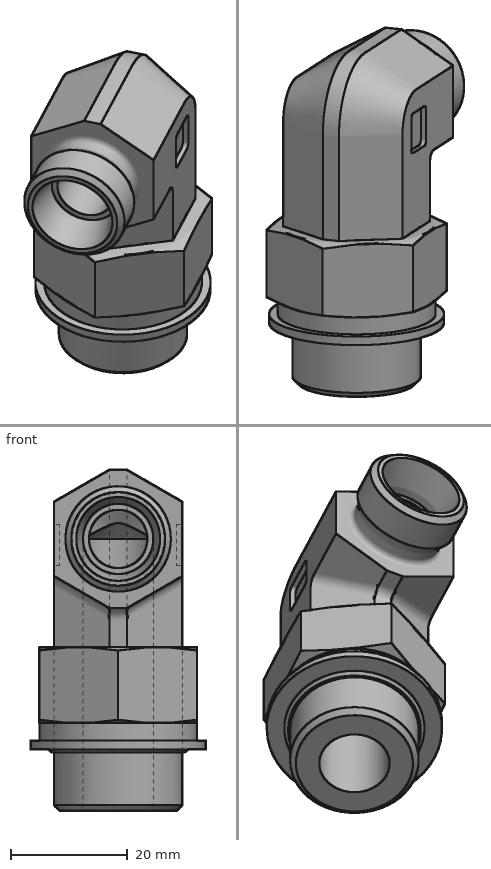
import cadquery as cq
import math

BODY_FLATS = 22.0
BODY_SIDE = BODY_FLATS / 2
HEX_SLOPE = math.tan(math.radians(30))
SIDE_FLAT_HALF = BODY_SIDE * HEX_SLOPE
BODY_HEIGHT_HALF = 11.85
BODY_FACE = 17.0
INNER_FILLET = 2.0
TOTAL_HEIGHT = 58.35
AXIS_Z = TOTAL_HEIGHT - BODY_HEIGHT_HALF

STUD_DIAMETER = BODY_FLATS
END_CHAMFER = 1.0

OUTLET_END = 28.0
OUTLET_DIAMETER = 18.0
NECK_DIAMETER = 15.7
NECK_FILLET = 1.0
SHOULDER_START = 19.55
SHOULDER_ANGLE = 30.0
SHOULDER_FILLET = 1.05

OUTLET_BORE = 10.0
STEM_BORE = 12.0
SEAT_DIAMETER = 12.0
SEAT_DEPTH = 7.0
CONE_MOUTH = 14.35
CONE_HALF_ANGLE = 12.0
DRILL_HALF_ANGLE = 60.0

RECESS_WIDTH = 6.9
RECESS_HEIGHT = 7.0
RECESS_DEPTH = 1.0
RECESS_CORNER = 0.9
RECESS_OFFSET_Y = 1.1
RECESS_DROP = 1.05

WASHER_DIAMETER = 30.0
WASHER_BOTTOM = 10.5
WASHER_THICKNESS = 1.5
LIP_TOP_DIAMETER = 24.0
LIP_BOTTOM_DIAMETER = 22.7
LIP_HEIGHT = 0.5
WASHER_TOP = WASHER_BOTTOM + WASHER_THICKNESS

NUT_FLATS = 27.0
NUT_HEIGHT = 16.0
COLLAR_DIAMETER = NUT_FLATS
COLLAR_HEIGHT = 3.0
NUT_FACE_DIAMETER = 26.85
NUT_CHAMFER_ANGLE = 15.0
NUT_TOP = WASHER_TOP + NUT_HEIGHT

SELECT_MARGIN = 0.05


def bar_half_profile():
    """Upper half of the bar section, from its left side flat to its right one."""
    uncut_peak = 2 * SIDE_FLAT_HALF
    crest = (uncut_peak - BODY_HEIGHT_HALF) / HEX_SLOPE
    return [
        (-BODY_SIDE, SIDE_FLAT_HALF),
        (-crest, BODY_HEIGHT_HALF),
        (crest, BODY_HEIGHT_HALF),
        (BODY_SIDE, SIDE_FLAT_HALF),
    ]


def bar_profile():
    """Whole section of the bar, with both corners on the middle line cut flat."""
    upper = bar_half_profile()
    lower = [(-x, -y) for x, y in upper]
    return upper + lower


def bar_elbow():
    """Stem, bend and outlet of the bar, with the inner corner rounded."""
    stem_plane = cq.Workplane("XY", origin=(0, 0, NUT_TOP))
    stem = stem_plane.polyline(bar_profile()).close().extrude(AXIS_Z - NUT_TOP)
    outlet_plane = cq.Workplane("XZ", origin=(0, 0, AXIS_Z))
    outlet = outlet_plane.polyline(bar_profile()).close().extrude(BODY_FACE)
    bend_section = [(-BODY_SIDE, 0)] + bar_half_profile() + [(BODY_SIDE, 0)]
    bend = outlet_plane.polyline(bend_section).close().revolve(90, (0, 0), (-1, 0))
    body = stem.union(outlet).union(bend)

    near = SIDE_FLAT_HALF - SELECT_MARGIN
    far = BODY_HEIGHT_HALF + SELECT_MARGIN
    side = BODY_SIDE + SELECT_MARGIN
    inner_corner = cq.selectors.BoxSelector(
        (-side, -far, AXIS_Z - far),
        (side, -near, AXIS_Z - near),
        boundingbox=True,
    )
    return body.edges(inner_corner).fillet(INNER_FILLET)


def stud():
    """Round shank from the stud end up to the foot of the hexagonal bar."""
    return cq.Workplane("XY").circle(STUD_DIAMETER / 2).extrude(NUT_TOP).faces("<Z").chamfer(END_CHAMFER)


def outlet_solid(profile):
    """Turn a (radius, distance from the stem axis) profile about the outlet axis."""
    points = [(radius, -distance) for radius, distance in profile]
    return cq.Workplane("XY", origin=(0, 0, AXIS_Z)).polyline(points).close().revolve(360, (0, 0), (0, 1))


def spigot():
    """Outlet tube end: neck, sloped shoulder and chamfered rim."""
    neck = NECK_DIAMETER / 2
    rim = OUTLET_DIAMETER / 2
    shoulder_end = SHOULDER_START + (rim - neck) / math.tan(math.radians(SHOULDER_ANGLE))
    turned = outlet_solid([
        (0, 0),
        (neck, 0),
        (neck, SHOULDER_START),
        (rim, shoulder_end),
        (rim, OUTLET_END - END_CHAMFER),
        (rim - END_CHAMFER, OUTLET_END),
        (0, OUTLET_END),
    ])
    reach = rim + SELECT_MARGIN
    shoulder_foot = cq.selectors.BoxSelector(
        (-reach, -SHOULDER_START - SELECT_MARGIN, AXIS_Z - reach),
        (reach, -SHOULDER_START + SELECT_MARGIN, AXIS_Z + reach),
        boundingbox=True,
    )
    return turned.edges(shoulder_foot).fillet(SHOULDER_FILLET)


def neck_root():
    """Ring with a concave round between the outlet end face and the neck."""
    neck = NECK_DIAMETER / 2
    diagonal = NECK_FILLET * (1 - math.sqrt(0.5))
    return (
        cq.Workplane("XY", origin=(0, 0, AXIS_Z))
        .moveTo(0, -BODY_FACE)
        .lineTo(neck + NECK_FILLET, -BODY_FACE)
        .threePointArc(
            (neck + diagonal, -BODY_FACE - diagonal),
            (neck, -BODY_FACE - NECK_FILLET),
        )
        .lineTo(0, -BODY_FACE - NECK_FILLET)
        .close()
        .revolve(360, (0, 0), (0, 1))
    )


def outlet_bore():
    """Tapered mouth, tube seat and a drilled bore whose tip passes the stem axis."""
    bore = OUTLET_BORE / 2
    seat = SEAT_DIAMETER / 2
    mouth = CONE_MOUTH / 2
    cone_depth = (mouth - seat) / math.tan(math.radians(CONE_HALF_ANGLE))
    tip = bore / math.tan(math.radians(DRILL_HALF_ANGLE))
    return outlet_solid([
        (0, -tip),
        (bore, 0),
        (bore, OUTLET_END - SEAT_DEPTH),
        (seat, OUTLET_END - SEAT_DEPTH),
        (seat, OUTLET_END - cone_depth),
        (mouth, OUTLET_END),
        (0, OUTLET_END),
    ])


def stem_bore():
    """Bore drilled up from the stud to the outlet axis, with a drill point above it."""
    bore = STEM_BORE / 2
    tip = bore / math.tan(math.radians(DRILL_HALF_ANGLE))
    profile = [(0, 0), (bore, 0), (bore, AXIS_Z), (0, AXIS_Z + tip)]
    return cq.Workplane("XZ").polyline(profile).close().revolve(360, (0, 0), (0, 1))


def side_recess(direction):
    """Rounded pocket in the side flat that faces the given X direction."""
    middle_x = direction * (BODY_SIDE - RECESS_DEPTH / 2)
    return (
        cq.Workplane("XY")
        .box(RECESS_DEPTH, RECESS_WIDTH, RECESS_HEIGHT)
        .edges("|X")
        .fillet(RECESS_CORNER)
        .translate((middle_x, -RECESS_OFFSET_Y, AXIS_Z - RECESS_DROP))
    )


def make_elbow():
    """Elbow with stud and spigot, bored through from both ends."""
    elbow = bar_elbow().union(stud()).union(spigot()).union(neck_root())
    elbow = elbow.cut(outlet_bore()).cut(stem_bore())
    for direction in (-1, 1):
        elbow = elbow.cut(side_recess(direction))
    return elbow


def make_washer():
    """Flat ring with a short conical lip below it, fitted around the stud."""
    bore = STUD_DIAMETER / 2
    outer = WASHER_DIAMETER / 2
    profile = [
        (bore, WASHER_TOP),
        (outer, WASHER_TOP),
        (outer, WASHER_BOTTOM),
        (LIP_TOP_DIAMETER / 2, WASHER_BOTTOM),
        (LIP_BOTTOM_DIAMETER / 2, WASHER_BOTTOM - LIP_HEIGHT),
        (bore, WASHER_BOTTOM - LIP_HEIGHT),
    ]
    return cq.Workplane("XZ").polyline(profile).close().revolve(360, (0, 0), (0, 1))


def make_nut():
    """Hexagon nut with chamfered corners and a round collar that rests on the washer."""
    corner = NUT_FLATS / math.sqrt(3)
    face = NUT_FACE_DIAMETER / 2
    chamfer_drop = (corner - face) * math.tan(math.radians(NUT_CHAMFER_ANGLE))
    hex_bottom = WASHER_TOP + COLLAR_HEIGHT
    hexagon = (
        cq.Workplane("XY", origin=(0, 0, hex_bottom))
        .transformed(rotate=(0, 0, 90))
        .polygon(6, 2 * corner)
        .extrude(NUT_TOP - hex_bottom)
    )
    envelope_profile = [
        (0, hex_bottom),
        (face, hex_bottom),
        (corner, hex_bottom + chamfer_drop),
        (corner, NUT_TOP - chamfer_drop),
        (face, NUT_TOP),
        (0, NUT_TOP),
    ]
    envelope = cq.Workplane("XZ").polyline(envelope_profile).close().revolve(360, (0, 0), (0, 1))
    collar = cq.Workplane("XY", origin=(0, 0, WASHER_TOP)).circle(COLLAR_DIAMETER / 2).extrude(COLLAR_HEIGHT)
    bore = cq.Workplane("XY").circle(STUD_DIAMETER / 2).extrude(NUT_TOP)
    return hexagon.intersect(envelope).union(collar).cut(bore)


elbow = make_elbow()
nut = make_nut()
washer = make_washer()

result = cq.Compound.makeCompound([elbow.solids().val(), nut.solids().val(), washer.solids().val()])